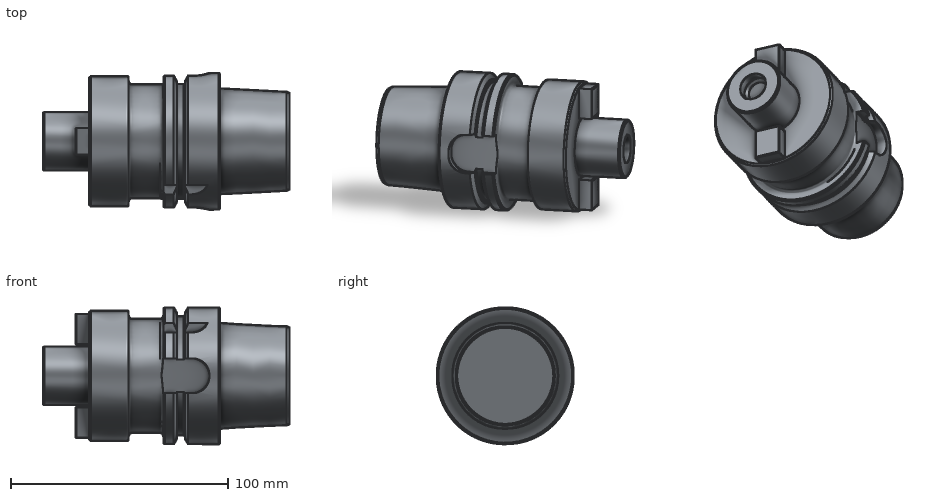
import cadquery as cq
import math

total_length = 113.5

pilot_radius = 27.0 / 2
pilot_chamfer = 0.7
bore_mouth_radius = 13.0 / 2
bore_floor_radius = 10.0 / 2
bore_cone_start = 4.7
bore_depth = 6.0

disc_start = 21.3
disc_end = 39.5
disc_radius = 60.0 / 2
disc_chamfer = 0.9
disc_round = 1.0

neck_radius = 52.5 / 2
neck_fillet = 1.5

flange_start = 55.4
flange_end = 81.5
flange_radius = 63.0 / 2
flange_chamfer = 0.7
groove_start = 61.7
groove_end = 65.3
groove_floor_radius = 27.5
groove_flare_length = 1.6
groove_flare_angle = 60.0
groove_corner_length = 0.6
groove_corner_height = 0.3

taper_start_radius = 24.4
taper_ratio = 10.0
taper_chamfer_length = 1.4
taper_chamfer_height = 0.7

key_start = 15.1
key_width = 12.0
key_inner = 14.4
key_outer = 28.5
key_chamfer = 0.3

cutter_radius = 16.0 / 2
slot_end = 76.6
slot_floor = 26.5
front_slot_width = 2 * cutter_radius
back_slot_width = 18.0
round_clearance = 0.001

notch_wall = 20.0

cutter_centre = slot_end - cutter_radius


def turned_body():
    """Solid of revolution about the X axis."""
    flare_height = groove_flare_length * math.tan(math.radians(groove_flare_angle))
    groove_rim_radius = flange_radius - flare_height
    taper_end_radius = taper_start_radius - (total_length - flange_end) / (2 * taper_ratio)
    fillet_mid = neck_fillet * math.sin(math.radians(45))
    fillet_rest = neck_fillet - fillet_mid
    round_mid = disc_round * math.sin(math.radians(45))

    profile = (
        cq.Workplane("XY")
        .moveTo(bore_depth, 0)
        .lineTo(bore_depth, bore_floor_radius)
        .lineTo(bore_cone_start, bore_mouth_radius)
        .lineTo(0, bore_mouth_radius)
        .lineTo(0, pilot_radius - pilot_chamfer)
        .lineTo(pilot_chamfer, pilot_radius)
        .lineTo(disc_start, pilot_radius)
        .lineTo(disc_start, disc_radius - disc_chamfer)
        .lineTo(disc_start + disc_chamfer, disc_radius)
        .lineTo(disc_end - disc_round, disc_radius)
        .threePointArc(
            (disc_end - disc_round + round_mid, disc_radius - disc_round + round_mid),
            (disc_end, disc_radius - disc_round),
        )
        .lineTo(disc_end, neck_radius + neck_fillet)
        .threePointArc(
            (disc_end + fillet_rest, neck_radius + fillet_rest),
            (disc_end + neck_fillet, neck_radius),
        )
        .lineTo(flange_start - neck_fillet, neck_radius)
        .threePointArc(
            (flange_start - fillet_rest, neck_radius + fillet_rest),
            (flange_start, neck_radius + neck_fillet),
        )
        .lineTo(flange_start, flange_radius - flange_chamfer)
        .lineTo(flange_start + flange_chamfer, flange_radius)
        .lineTo(groove_start - groove_flare_length, flange_radius)
        .lineTo(groove_start, groove_rim_radius)
        .lineTo(groove_start, groove_floor_radius)
        .lineTo(groove_end - groove_corner_length, groove_floor_radius)
        .lineTo(groove_end, groove_floor_radius + groove_corner_height)
        .lineTo(groove_end, groove_rim_radius)
        .lineTo(groove_end + groove_flare_length, flange_radius)
        .lineTo(flange_end - flange_chamfer, flange_radius)
        .lineTo(flange_end, flange_radius - flange_chamfer)
        .lineTo(flange_end, taper_start_radius)
        .lineTo(total_length - taper_chamfer_length, taper_end_radius)
        .lineTo(total_length, taper_end_radius - taper_chamfer_height)
        .lineTo(total_length, 0)
        .close()
    )
    return profile.revolve(360, (0, 0, 0), (1, 0, 0))


def drive_key(side):
    """Key on the +Z (side = 1) or -Z (side = -1) half of the disc face."""
    length = disc_start - key_start
    height = key_outer - key_inner
    key = (
        cq.Workplane("XY")
        .box(length, key_width, height)
        .faces("<X")
        .edges()
        .chamfer(key_chamfer)
    )
    return key.translate((key_start + length / 2, 0, side * (key_inner + key_outer) / 2))


def drive_slot(side, width):
    """Flat-floored slot open toward the neck, on the +Y (side = 1) or -Y (side = -1) flank."""
    depth = flange_radius - slot_floor
    slot_start = flange_start - neck_fillet
    length = slot_end - slot_start
    slot = cq.Workplane("XY").box(length, depth, width).edges("|Y and >X")
    slot = slot.fillet(cutter_radius - round_clearance)
    return slot.translate((slot_start + length / 2, side * (slot_floor + depth / 2), 0))


def orientation_notch():
    """Notch with square walls at 45 degrees, ending in a run-out of the cutter radius."""
    notch = (
        cq.Workplane("XZ", origin=(0, -notch_wall, 0))
        .moveTo(flange_start, notch_wall)
        .lineTo(cutter_centre, notch_wall)
        .radiusArc((cutter_centre + cutter_radius, notch_wall + cutter_radius), -cutter_radius)
        .lineTo(cutter_centre + cutter_radius, flange_radius)
        .lineTo(flange_start, flange_radius)
        .close()
    )
    return notch.extrude(flange_radius - notch_wall)


result = turned_body()
for key_side in (1, -1):
    result = result.union(drive_key(key_side))
result = result.cut(drive_slot(-1, front_slot_width))
result = result.cut(drive_slot(1, back_slot_width))
result = result.cut(orientation_notch())